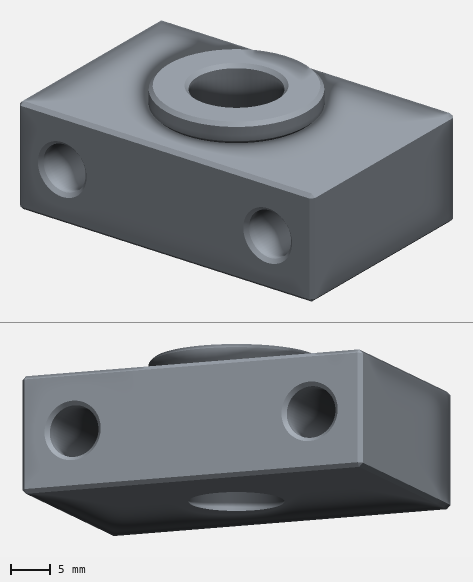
import cadquery as cq

block_length = 46.0
block_width = 30.0
block_height = 15.0
edge_chamfer = 0.5

cross_hole_diameter = 6.6
cross_hole_spacing = 32.0
cross_hole_chamfer = 0.5

flange_diameter = 22.0
flange_height = 3.0
flange_chamfer = 0.5
bore_diameter = 12.0
bore_chamfer = 0.5
sleeve_diameter = 18.0


def make_cross_hole(x_position):
    """Cutter for one cross hole, flared at 45 degrees at both mouths."""
    hole_radius = cross_hole_diameter / 2
    mouth_radius = hole_radius + cross_hole_chamfer
    half_width = block_width / 2
    straight_end = half_width - cross_hole_chamfer
    profile = (
        cq.Workplane("XY")
        .moveTo(0, -half_width)
        .lineTo(mouth_radius, -half_width)
        .lineTo(hole_radius, -straight_end)
        .lineTo(hole_radius, straight_end)
        .lineTo(mouth_radius, half_width)
        .lineTo(0, half_width)
        .close()
    )
    cutter = profile.revolve(360, (0, 0, 0), (0, 1, 0))
    return cutter.translate((x_position, 0, block_height / 2))


def make_block():
    """Chamfered block with two cross holes and a seat for the bushing."""
    body = (
        cq.Workplane("XY")
        .box(block_length, block_width, block_height, centered=(True, True, False))
        .edges()
        .chamfer(edge_chamfer)
    )
    for side in (-1, 1):
        body = body.cut(make_cross_hole(side * cross_hole_spacing / 2))
    seat = cq.Workplane("XY").circle(sleeve_diameter / 2).extrude(block_height)
    return body.cut(seat)


def make_bushing():
    """Plain sleeve in the block with a chamfered flange resting on top."""
    sleeve = cq.Workplane("XY").circle(sleeve_diameter / 2).extrude(block_height)
    flange = (
        cq.Workplane("XY")
        .workplane(offset=block_height)
        .circle(flange_diameter / 2)
        .extrude(flange_height)
        .edges()
        .chamfer(flange_chamfer)
    )
    return (
        sleeve.union(flange)
        .faces(">Z")
        .workplane()
        .hole(bore_diameter)
        .faces(">Z")
        .edges(cq.selectors.RadiusNthSelector(0))
        .chamfer(bore_chamfer)
    )


block = make_block()
bushing = make_bushing()

result = cq.Compound.makeCompound([block.val(), bushing.val()])